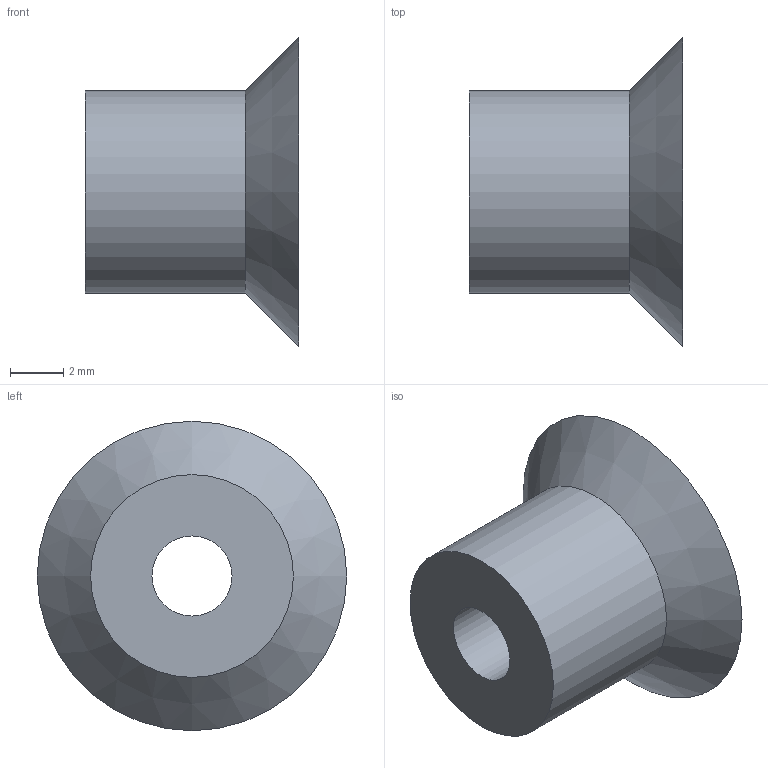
import cadquery as cq

total_length = 8.0
body_diameter = 7.6
bore_diameter = 3.0
flare_length = 2.0
flare_diameter = body_diameter + 2 * flare_length

body_radius = body_diameter / 2
bore_radius = bore_diameter / 2
flare_radius = flare_diameter / 2
body_length = total_length - flare_length


def flared_bushing():
    """Revolve the half section: straight body, conical flare at +X, plain through bore."""
    half_section = (
        cq.Workplane("XY")
        .moveTo(0, bore_radius)
        .lineTo(0, body_radius)
        .lineTo(body_length, body_radius)
        .lineTo(total_length, flare_radius)
        .lineTo(total_length, bore_radius)
        .close()
    )
    return half_section.revolve(360, (0, 0, 0), (1, 0, 0))


result = flared_bushing()